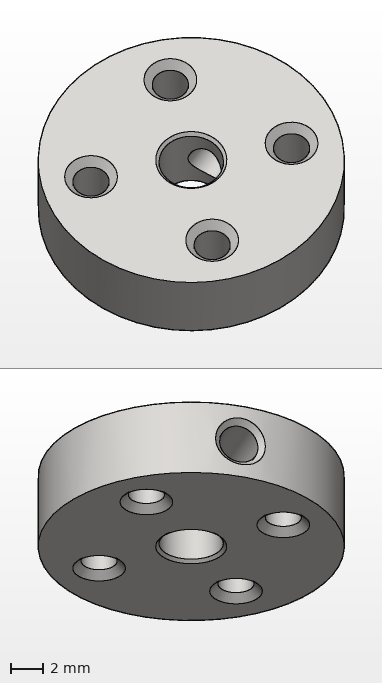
import cadquery as cq

disc_diameter = 19.0
disc_height = 5.0

bore_diameter = 3.99
bore_chamfer = 0.2

hole_spacing = 8.99
hole_diameter = 2.25
hole_chamfer = 0.51

screw_diameter = 2.5
screw_chamfer = 0.38


def chamfered_hole(diameter, chamfer):
    """Cutter along Z through the disc, widened at 45 degrees at both faces."""
    radius = diameter / 2
    rim_radius = radius + chamfer
    profile = [
        (0, 0),
        (rim_radius, 0),
        (radius, chamfer),
        (radius, disc_height - chamfer),
        (rim_radius, disc_height),
        (0, disc_height),
    ]
    return cq.Workplane("XZ").polyline(profile).close().revolve(360, (0, 0), (0, 1))


disc = cq.Workplane("XY").circle(disc_diameter / 2).extrude(disc_height)

screw_hole = (
    cq.Workplane("XZ", origin=(0, 0, disc_height / 2))
    .circle(screw_diameter / 2)
    .extrude(-disc_diameter)
)
disc = disc.cut(screw_hole)

disc = disc.edges(">Y").chamfer(screw_chamfer)

disc = disc.cut(chamfered_hole(bore_diameter, bore_chamfer))

mounting_hole = chamfered_hole(hole_diameter, hole_chamfer)
for x_side in (-1, 1):
    for y_side in (-1, 1):
        place = (x_side * hole_spacing / 2, y_side * hole_spacing / 2, 0)
        disc = disc.cut(mounting_hole.translate(place))

result = disc